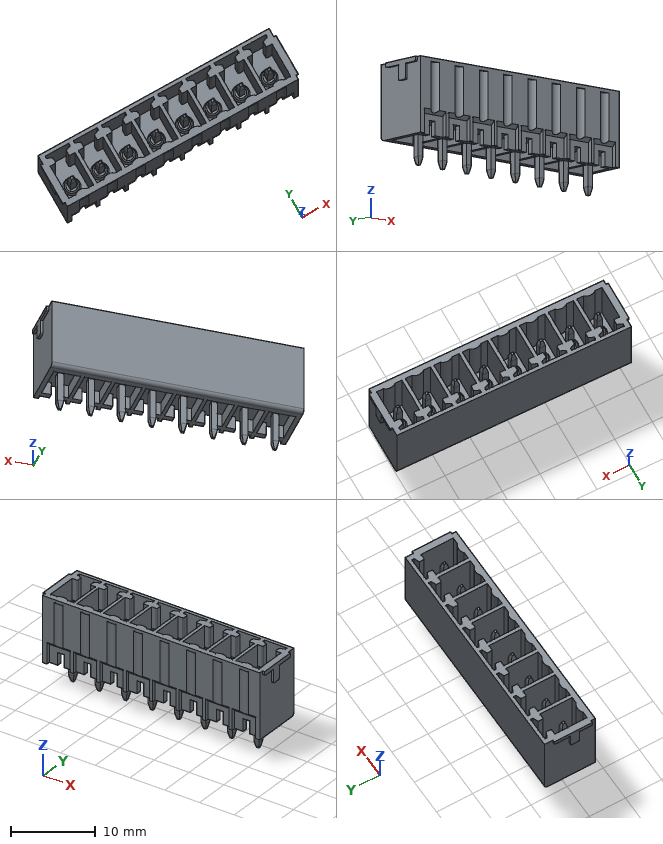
import cadquery as cq


total_length = 31.87
housing_depth = 7.05
total_height = 12.4
housing_height = 9.2
tab_thickness = 0.3
housing_length = total_length - 2 * tab_thickness
front_y = -3.0
back_y = front_y + housing_depth
back_edge_radius = 0.48

pin_count = 8
pin_row_length = 26.68
pitch = pin_row_length / (pin_count - 1)
pin_positions = [i * pitch - pin_row_length / 2 for i in range(pin_count)]

pin_width = 0.75
pin_tip_width = 0.32
pin_flat_taper_length = 0.95
pin_round_taper_length = 1.02
pin_taper_bulge = 0.038
pin_bottom = housing_height - total_height
pin_top = housing_height - 1.45

floor_top = 3.0
cell_width = 3.35
neck_width = 1.8
head_width = 3.2
front_wall = 0.75
back_wall = 0.48
cell_front_y = front_y + front_wall
head_back_y = back_y - back_wall
head_corner_y = head_back_y - 0.32
neck_back_y = head_corner_y - 0.3
neck_front_y = back_y - 1.82
neck_corner_radius = 0.13

bump_width = 1.53
bump_height = 0.3

boss_base_radius = 1.08
boss_shoulder_radius = 0.9
boss_top_radius = 0.7
boss_shoulder_height = 0.45
boss_height = 0.57

groove_width = 1.3
groove_depth = 0.32
groove_top = housing_height - 0.45

recess_depth = 0.5
recess_front_height = 3.0
recess_back_height = recess_front_height - recess_depth

slot_width = 0.92
pocket_height = 1.75
pocket_wall = 1.2

tab_bar_front_y = front_y + 0.57
tab_bar_back_y = back_y - 1.15
tab_bar_height = 0.57
tab_stem_width = 1.25
tab_height = 2.5
tab_corner_radius = 0.22


def box(x_range, y_range, z_range):
    """Solid box between the given limits."""
    low_corner = (x_range[0], y_range[0], z_range[0])
    size = (x_range[1] - x_range[0], y_range[1] - y_range[0], z_range[1] - z_range[0])
    return cq.Workplane("XY", origin=low_corner).box(*size, centered=False)


def across(x, width):
    """Limits of a width centred on x."""
    return (x - width / 2, x + width / 2)


def flat_tapered_bar():
    """Bar along Z whose -X and +X faces taper in straight planes at both ends."""
    half_width = pin_width / 2
    half_tip = pin_tip_width / 2
    right_side = [
        (half_tip, pin_bottom),
        (half_width, pin_bottom + pin_flat_taper_length),
        (half_width, pin_top - pin_flat_taper_length),
        (half_tip, pin_top),
    ]
    left_side = [(-px, pz) for px, pz in reversed(right_side)]
    return cq.Workplane("XZ").polyline(right_side + left_side).close().extrude(half_width, both=True)


def round_tapered_bar():
    """Bar along Z whose -Y and +Y faces taper in shallow arcs at both ends."""
    half_width = pin_width / 2
    half_tip = pin_tip_width / 2
    arc_middle = (half_width + half_tip) / 2 + pin_taper_bulge
    low_shoulder = pin_bottom + pin_round_taper_length
    high_shoulder = pin_top - pin_round_taper_length
    low_middle = (pin_bottom + low_shoulder) / 2
    high_middle = (pin_top + high_shoulder) / 2
    return (
        cq.Workplane("YZ")
        .moveTo(half_tip, pin_bottom)
        .threePointArc((arc_middle, low_middle), (half_width, low_shoulder))
        .lineTo(half_width, high_shoulder)
        .threePointArc((arc_middle, high_middle), (half_tip, pin_top))
        .lineTo(-half_tip, pin_top)
        .threePointArc((-arc_middle, high_middle), (-half_width, high_shoulder))
        .lineTo(-half_width, low_shoulder)
        .threePointArc((-arc_middle, low_middle), (-half_tip, pin_bottom))
        .close()
        .extrude(half_width, both=True)
    )


def make_pin(x):
    """Square pin tapered at both ends, flat on two faces and rounded on the other two."""
    return flat_tapered_bar().intersect(round_tapered_bar()).translate((x, 0, 0))


def make_cell(x):
    """Volume of one cell: a rectangle with a dovetailed key slot toward the back wall."""
    right_side = [
        (cell_width / 2, cell_front_y),
        (cell_width / 2, neck_front_y),
        (neck_width / 2, neck_front_y),
        (neck_width / 2, neck_back_y),
        (head_width / 2, head_corner_y),
        (head_width / 2, head_back_y),
    ]
    left_side = [(-px, py) for px, py in reversed(right_side)]
    cell = (
        cq.Workplane("XY", origin=(x, 0, floor_top))
        .moveTo(bump_width / 2, cell_front_y)
        .polyline(right_side + left_side, includeCurrent=True)
        .lineTo(-bump_width / 2, cell_front_y)
        .threePointArc((0, cell_front_y + bump_height), (bump_width / 2, cell_front_y))
        .close()
        .extrude(housing_height - floor_top)
    )
    neck_corners = cq.selectors.BoxSelector(
        (x - neck_width / 2 - neck_corner_radius, neck_front_y - neck_corner_radius, floor_top),
        (x + neck_width / 2 + neck_corner_radius, neck_front_y + neck_corner_radius, housing_height),
    )
    return cell.edges("|Z").edges(neck_corners).fillet(neck_corner_radius)


def make_boss(x):
    """Boss with a drafted side and a broad chamfer around its flat top."""
    half_section = [
        (0, 0),
        (boss_base_radius, 0),
        (boss_shoulder_radius, boss_shoulder_height),
        (boss_top_radius, boss_height),
        (0, boss_height),
    ]
    return (
        cq.Workplane("XZ", origin=(x, 0, floor_top))
        .polyline(half_section)
        .close()
        .revolve(360, (0, 0, 0), (0, 1, 0))
    )


def make_groove(x):
    """Volume of the shallow round groove in the front face, down to the recess."""
    return (
        cq.Workplane("XY", origin=(x, front_y, recess_back_height))
        .moveTo(-groove_width / 2, 0)
        .threePointArc((0, groove_depth), (groove_width / 2, 0))
        .close()
        .extrude(groove_top - recess_back_height)
    )


def make_recess(x):
    """Volume of the recess at the foot of the front face."""
    recess_back_y = front_y + recess_depth
    return (
        cq.Workplane("YZ", origin=(x, 0, 0))
        .polyline(
            [
                (front_y, 0),
                (recess_back_y, 0),
                (recess_back_y, recess_back_height),
                (front_y, recess_front_height),
            ]
        )
        .close()
        .extrude(cell_width / 2, both=True)
    )


def make_pocket(x):
    """Volume of the pocket under a cell, with the slot that opens it to the front."""
    pocket_y = (front_y + pocket_wall, back_y - pocket_wall)
    pocket = box(across(x, cell_width), pocket_y, (0, pocket_height))
    slot = box(across(x, slot_width), (front_y, pocket_y[0]), (0, pocket_height))
    return pocket.union(slot)


def make_tab(start_x):
    """T-shaped tab, flush with the top of the housing, one tab thickness long in +X."""
    x_range = (start_x, start_x + tab_thickness)
    bar = box(x_range, (tab_bar_front_y, tab_bar_back_y), (housing_height - tab_bar_height, housing_height))
    stem = box(x_range, across(0, tab_stem_width), (housing_height - tab_height, housing_height))
    bar = bar.edges("|X and <Z").fillet(tab_corner_radius)
    stem = stem.edges("|X and <Z").fillet(tab_corner_radius)
    return bar.union(stem)


def make_housing():
    """Housing with its cells, bosses, recesses, pockets, tabs and pin holes."""
    half_length = housing_length / 2
    housing = box((-half_length, half_length), (front_y, back_y), (0, housing_height))
    housing = housing.edges("|X and >Y and <Z").fillet(back_edge_radius)
    for x in pin_positions:
        housing = housing.cut(make_cell(x)).union(make_boss(x))
        housing = housing.cut(make_groove(x)).cut(make_recess(x)).cut(make_pocket(x))
        pin_hole = box(across(x, pin_width), across(0, pin_width), (0, floor_top + boss_height))
        housing = housing.cut(pin_hole)
    return housing.union(make_tab(-total_length / 2)).union(make_tab(half_length))


housing = make_housing()
pins = [make_pin(x) for x in pin_positions]
result = cq.Compound.makeCompound([housing.val(), *[pin.val() for pin in pins]])